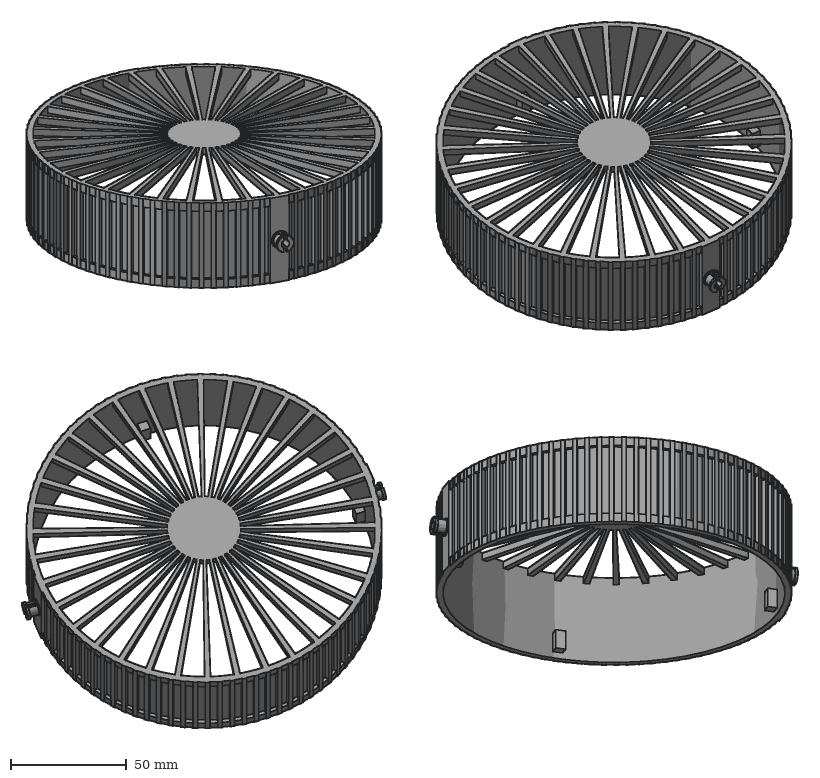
import cadquery as cq
import math

height = 40.0
outer_radius = 76.99
inner_radius = 148.0 / 2
pocket_radius = 75.0
band_radius = 76.7
band_height = 4.0

rib_count = 90
rib_width = 2.0

spoke_count = 36
hub_radius = 16.0
spoke_thickness = 3.2
spoke_inner_width = 1.5
spoke_outer_width = 2.7

lug_count = 4
lug_width = 4.5
lug_depth = 4.2
lug_height = 8.6
lug_offset = 3.0

tip_x = 83.0
pad_x = 77.2
pad_width = 9.0
collar_thickness = 0.5
head_thickness = 1.2
head_radius = 3.9
shank_radius = 6.5 / 2
bore_radius = 1.8
split_width = 1.5

bottom = -height / 2
top = height / 2
wall_radius = (inner_radius + pocket_radius) / 2


def polar(radius, angle):
    return (radius * math.cos(angle), radius * math.sin(angle))


def corner(along, aside, angle):
    """Point given by its distances along and to the left of a direction from the Z axis."""
    return (
        along * math.cos(angle) - aside * math.sin(angle),
        along * math.sin(angle) + aside * math.cos(angle),
    )


def around(solid, count):
    """Copies of a solid at equal angles about the Z axis."""
    return [solid.rotate((0, 0, 0), (0, 0, 1), i * 360 / count).val() for i in range(count)]


def ribbed_ring(root_radius, base, tall):
    """Ring with flat-topped ribs standing on a round outer face of the given radius."""
    half = rib_width / 2
    root = math.sqrt(root_radius**2 - half**2)
    pitch = 2 * math.pi / rib_count
    first = -math.pi / 2
    outline = cq.Workplane("XY", origin=(0, 0, base)).moveTo(*corner(root, -half, first))
    for i in range(rib_count):
        angle = first + i * pitch
        outline = outline.lineTo(*corner(outer_radius, -half, angle))
        outline = outline.lineTo(*corner(outer_radius, half, angle))
        outline = outline.lineTo(*corner(root, half, angle))
        outline = outline.threePointArc(
            polar(root_radius, angle + pitch / 2), corner(root, -half, angle + pitch)
        )
    ring = outline.close().extrude(tall)
    return ring.cut(cq.Workplane("XY", origin=(0, 0, base)).circle(inner_radius).extrude(tall))


def make_wall():
    wall = ribbed_ring(pocket_radius, bottom + band_height, height - 2 * band_height)
    for base in (bottom, top - band_height):
        wall = wall.union(ribbed_ring(band_radius, base, band_height))
    return wall


def make_wheel():
    """Hub with spokes that widen outwards and end inside the wall."""
    hub_half = spoke_inner_width / 2
    rim_half = spoke_outer_width / 2
    points = []
    for i in range(spoke_count):
        angle = i * 2 * math.pi / spoke_count
        points.append(corner(hub_radius, -hub_half, angle))
        points.append(corner(inner_radius, -rim_half, angle))
        points.append(corner(wall_radius, -rim_half, angle))
        points.append(corner(wall_radius, rim_half, angle))
        points.append(corner(inner_radius, rim_half, angle))
        points.append(corner(hub_radius, hub_half, angle))
    start = cq.Workplane("XY", origin=(0, 0, top))
    spokes = start.polyline(points).close().extrude(-spoke_thickness)
    return spokes.union(start.circle(hub_radius).extrude(-spoke_thickness))


def make_lugs():
    """Lugs whose tips follow a circle about the Z axis."""
    base = bottom + lug_offset
    tip_radius = inner_radius - lug_depth
    bar = cq.Workplane("XY", origin=(wall_radius / 2, 0, base)).rect(wall_radius, lug_width)
    core = cq.Workplane("XY", origin=(0, 0, base)).circle(tip_radius)
    return around(bar.extrude(lug_height).cut(core.extrude(lug_height)), lug_count)


def make_pad():
    return (
        cq.Workplane("XY", origin=((wall_radius + pad_x) / 2, 0, bottom))
        .rect(pad_x - wall_radius, pad_width)
        .extrude(height)
    )


def make_pin():
    """Split pin along +X: collar, shank and head, bored and slotted down to the collar."""
    collar_x = pad_x + collar_thickness

    def disc(radius, start, end):
        return cq.Workplane("YZ", origin=(start, 0, 0)).circle(radius).extrude(end - start)

    pin = disc(head_radius, wall_radius, collar_x)
    pin = pin.union(disc(shank_radius, wall_radius, tip_x))
    pin = pin.union(disc(head_radius, tip_x - head_thickness, tip_x))
    split = cq.Workplane("XY", origin=((collar_x + tip_x) / 2, 0, 0)).box(
        tip_x - collar_x, split_width, 2 * head_radius
    )
    return pin.cut(disc(bore_radius, collar_x, tip_x)).cut(split)


pieces = [make_wheel().val()] + make_lugs() + around(make_pad().union(make_pin()), 2)
result = cq.Workplane(make_wall().val().fuse(*pieces)).clean()